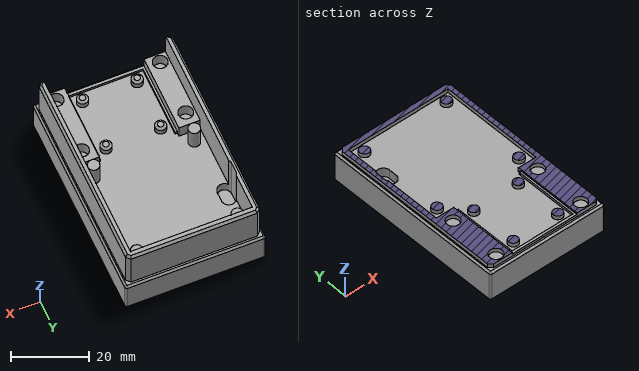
import cadquery as cq

BASE_X = 39.0
BASE_Y = 60.2
BASE_Z = 9.3
BASE_CORNER_RADIUS = 0.6
BASE_TOP_CHAMFER = 0.57

TOTAL_Z = 21.0
TRAY_X = 37.2
TRAY_Y = 58.0
TRAY_CORNER_CHAMFER = 1.1
TRAY_TOP_CHAMFER = 0.65
OVERLAP = 0.6

FLOOR_Z = BASE_Z
CAVITY_X = 33.8
CAVITY_BACK_Y = 27.2
TRAY_FRONT_Y = -TRAY_Y / 2

BLOCK_TOP_Z = 13.3
BLOCK_BACK_Y = -6.45
BLOCK_GAP = 21.95
SILL_TOP_Z = 10.1
LEDGE_BACK_Y = -7.45
RECESS_X = 20.7
RECESS_FRONT_Y = -28.15

BLOCK_HOLE_DIAMETER = 4.0
BLOCK_HOLE_X = 14.45
BLOCK_HOLE_YS = (-26.55, -10.05)

POST_DIAMETER = 3.25
POST_TOP_Z = 15.8
POST_X = 13.95
POST_YS = (-3.4, 24.5)

PEG_DIAMETER = 3.1
PEG_TOP_Z = 11.6
PEG_TIP_HEIGHT = 0.6
PEG_TIP_INSET = 0.7
PEG_X = 7.6
PEG_YS = (-25.45, -10.3)

SLOT_WIDTH = 4.0
SLOT_LENGTH = 6.6
SLOT_X = -15.3
SLOT_Y = 14.4
SLOT_ANGLE = 90
SLOT_FLOOR_DEPTH = 3.0


def box_between(x_min, x_max, y_min, y_max, z_min, z_max):
    """Axis-aligned box given by its limits."""
    size = (x_max - x_min, y_max - y_min, z_max - z_min)
    return cq.Workplane("XY").box(*size, centered=False).translate((x_min, y_min, z_min))


def mirrored_points(x, ys):
    """Points at +x and -x for every y."""
    return [(side * x, y) for side in (-1, 1) for y in ys]


def make_base():
    base = cq.Workplane("XY").box(BASE_X, BASE_Y, BASE_Z, centered=(True, True, False))
    base = base.edges("|Z").fillet(BASE_CORNER_RADIUS)
    return base.faces(">Z").chamfer(BASE_TOP_CHAMFER)


def make_tray():
    bottom_z = BASE_Z - OVERLAP
    tray = cq.Workplane("XY").workplane(offset=bottom_z).rect(TRAY_X, TRAY_Y).extrude(TOTAL_Z - bottom_z)
    tray = tray.edges("|Z").chamfer(TRAY_CORNER_CHAMFER)
    tray = tray.faces(">Z").chamfer(TRAY_TOP_CHAMFER)
    half_x = CAVITY_X / 2
    return tray.cut(box_between(-half_x, half_x, TRAY_FRONT_Y, CAVITY_BACK_Y, FLOOR_Z, TOTAL_Z))


def make_front_supports():
    """Sill, side ledges and mounting blocks that fill the front of the cavity."""
    half_x = CAVITY_X / 2
    bottom_z = FLOOR_Z - OVERLAP
    supports = box_between(-half_x, half_x, TRAY_FRONT_Y, LEDGE_BACK_Y, bottom_z, SILL_TOP_Z)
    supports = supports.cut(
        box_between(-RECESS_X / 2, RECESS_X / 2, RECESS_FRONT_Y, LEDGE_BACK_Y, FLOOR_Z, SILL_TOP_Z)
    )
    block = box_between(BLOCK_GAP / 2, half_x, TRAY_FRONT_Y, BLOCK_BACK_Y, bottom_z, BLOCK_TOP_Z)
    return supports.union(block).union(block.mirror("YZ"))


def make_pins(diameter, top_z, points):
    """Round pins rising from the floor."""
    bottom_z = FLOOR_Z - OVERLAP
    pins = cq.Workplane("XY").workplane(offset=bottom_z).pushPoints(points)
    return pins.circle(diameter / 2).extrude(top_z - bottom_z)


def make_block_holes():
    holes = cq.Workplane("XY").workplane(offset=FLOOR_Z)
    holes = holes.pushPoints(mirrored_points(BLOCK_HOLE_X, BLOCK_HOLE_YS))
    return holes.circle(BLOCK_HOLE_DIAMETER / 2).extrude(BLOCK_TOP_Z - FLOOR_Z)


def make_slot():
    bottom_z = FLOOR_Z - SLOT_FLOOR_DEPTH
    slot = cq.Workplane("XY").workplane(offset=bottom_z).center(SLOT_X, SLOT_Y)
    return slot.slot2D(SLOT_LENGTH, SLOT_WIDTH, SLOT_ANGLE).extrude(TOTAL_Z - bottom_z)


posts = make_pins(POST_DIAMETER, POST_TOP_Z, mirrored_points(POST_X, POST_YS))
pegs = make_pins(PEG_DIAMETER, PEG_TOP_Z, mirrored_points(PEG_X, PEG_YS))
pegs = pegs.faces(">Z").chamfer(PEG_TIP_HEIGHT, PEG_TIP_INSET)

result = make_base().union(make_tray()).union(make_front_supports())
result = result.union(posts).union(pegs)
result = result.cut(make_block_holes()).cut(make_slot())